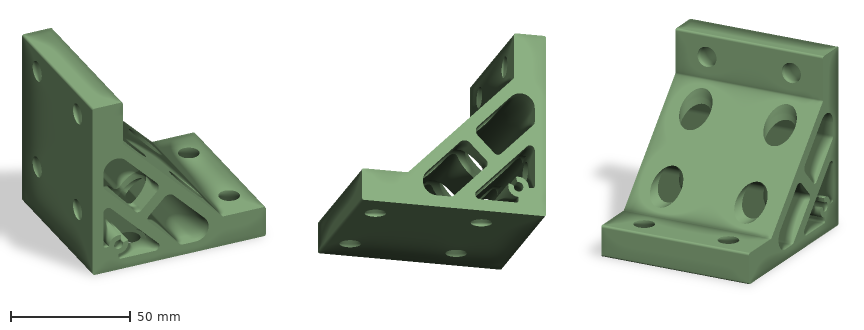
import cadquery as cq
import math


width = 70.0
leg_length = 80.0
plate_thickness = 14.0
edge_radius = 1.0

brace_start = 60.0
wall = 5.0
slot_width = 15.1
slot_end_radius = 6.0
slot_brace_radius = 3.0
slot_corner_radius = 2.0
triangle_tip_radius = 2.0

corner_block = 12.0
block_root_radius = 1.0
clip_outer_radius = 4.5
clip_inner_radius = 2.1
clip_opening_angle = 60.0
clip_tip_radius = 0.5

bolt_pitch_x = 40.0
inner_bolt_distance = 24.0
outer_bolt_distance = 70.0
bolt_diameter = 9.0
counterbore_diameter = 14.0

brace_outer_sum = brace_start + plate_thickness
brace_inner_sum = brace_outer_sum - wall * math.sqrt(2)
slot_lower_sum = brace_inner_sum - slot_width * math.sqrt(2)
triangle_sum = slot_lower_sum - wall * math.sqrt(2)
web_difference = wall / 2 * math.sqrt(2)


def mirrored(point):
    """Reflect a (y, z) point in the symmetry line y = z."""
    y, z = point
    return (z, y)


def diagonal_point(sum_yz, difference):
    """Point with the given y + z and z - y."""
    return ((sum_yz - difference) / 2, (sum_yz + difference) / 2)


def prism(points):
    """Extrude a (y, z) outline across the full width, centred on x = 0."""
    return cq.Workplane("YZ").polyline(points).close().extrude(width / 2, both=True)


def round_corners(body, corners, radius):
    """Fillet the edges along X that pass through the given (y, z) corners."""
    for y, z in corners:
        body = body.edges(cq.selectors.NearestToPointSelector((0, y, z))).fillet(radius)
    return body


def make_body():
    outline = [
        (0, 0),
        (leg_length, 0),
        (leg_length, plate_thickness),
        (brace_start, plate_thickness),
        (plate_thickness, brace_start),
        (plate_thickness, leg_length),
        (0, leg_length),
    ]
    return prism(outline).edges("|X").fillet(edge_radius)


def make_upper_slot():
    slot_tip = (wall, brace_inner_sum - wall)
    brace_corner = diagonal_point(brace_inner_sum, web_difference)
    web_corner = diagonal_point(slot_lower_sum, web_difference)
    wall_corner = (wall, slot_lower_sum - wall)
    slot = prism([slot_tip, brace_corner, web_corner, wall_corner])
    slot = round_corners(slot, [slot_tip], slot_end_radius)
    slot = round_corners(slot, [brace_corner], slot_brace_radius)
    return round_corners(slot, [web_corner, wall_corner], slot_corner_radius)


def mirror_across_diagonal(body):
    """Reflect a body in the plane y = z by swapping Y and Z."""
    return body.mirror("XZ").rotate((0, 0, 0), (1, 0, 0), -90)


def make_triangle_pocket():
    """Triangular pocket, stepped around the solid block in the outer corner."""
    tip = (wall, triangle_sum - wall)
    root = (wall, corner_block)
    pocket = prism(
        [tip, root, (corner_block, corner_block), mirrored(root), mirrored(tip)]
    )
    pocket = round_corners(pocket, [tip, mirrored(tip)], triangle_tip_radius)
    return round_corners(pocket, [root, mirrored(root)], block_root_radius)


def clip_cylinder(radius):
    """Cylinder across the full width, centred on the corner of the block."""
    return (
        cq.Workplane("YZ")
        .center(corner_block, corner_block)
        .circle(radius)
        .extrude(width / 2, both=True)
    )


def clip_point(radius, angle):
    """Point at a radius and an angle (degrees from +Y) about the clip centre."""
    return (
        corner_block + radius * math.cos(math.radians(angle)),
        corner_block + radius * math.sin(math.radians(angle)),
    )


def make_clip():
    """C-shaped ring that opens towards the brace, with its inner tips rounded."""
    lower_angle = 45 - clip_opening_angle / 2
    opening_end = clip_point(2 * clip_outer_radius, lower_angle)
    opening = prism([(corner_block, corner_block), opening_end, mirrored(opening_end)])
    ring = clip_cylinder(clip_outer_radius).cut(clip_cylinder(clip_inner_radius)).cut(opening)
    inner_tip = clip_point(clip_inner_radius, lower_angle)
    return round_corners(ring, [inner_tip, mirrored(inner_tip)], clip_tip_radius)


def make_upright_bores():
    """Bores along Y through the upright; the lower pair is counterbored through the brace."""
    rows = cq.Workplane("XZ")
    outer_points = [(side * bolt_pitch_x / 2, outer_bolt_distance) for side in (-1, 1)]
    inner_points = [(side * bolt_pitch_x / 2, inner_bolt_distance) for side in (-1, 1)]
    bores = (
        rows.pushPoints(outer_points + inner_points)
        .circle(bolt_diameter / 2)
        .extrude(-plate_thickness)
    )
    counterbores = (
        rows.workplane(offset=-wall)
        .pushPoints(inner_points)
        .circle(counterbore_diameter / 2)
        .extrude(-leg_length)
    )
    return bores.union(counterbores)


upper_slot = make_upper_slot()
upright_bores = make_upright_bores()

result = (
    make_body()
    .cut(upper_slot)
    .cut(mirror_across_diagonal(upper_slot))
    .cut(make_triangle_pocket())
    .cut(clip_cylinder(clip_inner_radius))
    .union(make_clip())
    .cut(upright_bores)
    .cut(mirror_across_diagonal(upright_bores))
)